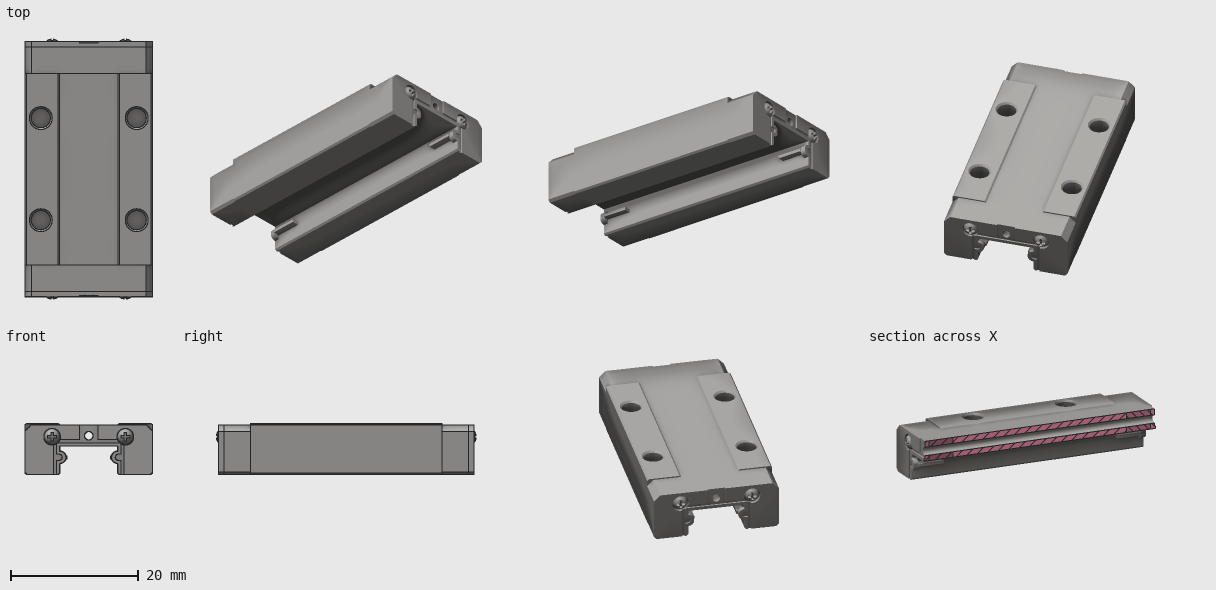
import cadquery as cq
import math

WIDTH = 20.0
HEIGHT = 8.0
LENGTH = 40.65
BLOCK_LENGTH = 30.0
SEAL_FRONT = 20.0
SEAL_THICKNESS = 0.85
SEAL_BACK = SEAL_FRONT - SEAL_THICKNESS
BLOCK_END = BLOCK_LENGTH / 2

CHANNEL_HALF_WIDTH = 4.5
CHANNEL_ROOF = 4.47
CHANNEL_CHAMFER = 0.3
BEAD_Z = 2.72

TOP_GROOVE_DEPTH = 0.2
TOP_GROOVE_HALF_WIDTH = 4.55
TOP_GROOVE_CHAMFER = 0.25
BLOCK_TOP_CHAMFER = 0.25
BLOCK_FOOT_CHAMFER = 0.3
MOUNT_HOLE_DIAMETER = 3.0
MOUNT_HOLE_DEPTH = 3.0
MOUNT_HOLE_CHAMFER = 0.3
COUNTERSINK_TAPER = 45
MOUNT_SPACING_X = 15.0
MOUNT_SPACING_Y = 16.0

CAP_TOP = HEIGHT - TOP_GROOVE_DEPTH
CAP_TOP_CHAMFER = 1.0
CAP_FOOT_CHAMFER = 0.4
CAP_BEAD_HALF_HEIGHT = 0.25
CAP_BEAD_TIP = 3.38
GREASE_HOLE_DIAMETER = 1.3
GREASE_HOLE_Z = 6.1

LIP_THICKNESS = 0.53
LIP_GROOVE_WIDTH = 0.5
SEAL_BEAD_RADIUS = 0.98
SEAL_BEAD_TIP = 3.58
BEAD_GROOVE_RADIUS = 0.5
BEAD_GROOVE_CENTRE_X = 4.65
NOTCH_WIDTH = 2.85
RECESS_DEPTH = 0.25

SCREW_RADIUS = 1.3
SCREW_X = 5.75
SCREW_Z = 5.95
CROSS_LENGTH = 1.4
CROSS_WIDTH = 0.4
CROSS_DEPTH = 0.8
CROSS_CORNER_RADIUS = CROSS_WIDTH / math.sqrt(2)
CORNER_HEIGHT = LENGTH / 2 - SEAL_BACK
DOME_CENTRE_HEIGHT = (CORNER_HEIGHT**2 + CROSS_CORNER_RADIUS**2 - SCREW_RADIUS**2) / (2 * CORNER_HEIGHT)
DOME_APEX_HEIGHT = DOME_CENTRE_HEIGHT + math.hypot(SCREW_RADIUS, DOME_CENTRE_HEIGHT)


def extrude_along_y(outline, y_start, y_end):
    """Extrude a closed XZ outline from y_start to y_end."""
    return outline.extrude(y_end - y_start).translate((0, y_end, 0))


def box_between(x_range, y_range, z_range):
    """A box given by its limits along X, Y and Z."""
    spans = [high - low for low, high in (x_range, y_range, z_range)]
    corner = (x_range[0], y_range[0], z_range[0])
    return cq.Workplane("XY").box(*spans, centered=False).translate(corner)


def rod_along_y(x, z, radius, y_start, y_end):
    """A round rod parallel to Y."""
    return extrude_along_y(cq.Workplane("XZ").center(x, z).circle(radius), y_start, y_end)


def saddle_outline(outer_points, foot_chamfer):
    """Symmetric saddle: outer points from the middle of the top outwards, then a leg and the channel."""
    half = WIDTH / 2
    right_side = outer_points + [
        (half, foot_chamfer),
        (half - foot_chamfer, 0),
        (CHANNEL_HALF_WIDTH + CHANNEL_CHAMFER, 0),
        (CHANNEL_HALF_WIDTH, CHANNEL_CHAMFER),
        (CHANNEL_HALF_WIDTH, CHANNEL_ROOF),
    ]
    left_side = [(-x, z) for x, z in reversed(right_side)]
    return cq.Workplane("XZ").polyline(right_side + left_side).close()


def cap_outline():
    """Outline shared by the end caps and the seals."""
    half = WIDTH / 2
    top_points = [(half - CAP_TOP_CHAMFER, CAP_TOP), (half, CAP_TOP - CAP_TOP_CHAMFER)]
    return saddle_outline(top_points, CAP_FOOT_CHAMFER)


def grease_hole():
    """Lubrication hole along the whole carriage."""
    return rod_along_y(0, GREASE_HOLE_Z, GREASE_HOLE_DIAMETER / 2, -LENGTH / 2, LENGTH / 2)


def make_block():
    """Steel block with a shallow groove on top and four mounting holes."""
    half = WIDTH / 2
    top_points = [
        (TOP_GROOVE_HALF_WIDTH, HEIGHT - TOP_GROOVE_DEPTH),
        (TOP_GROOVE_HALF_WIDTH + TOP_GROOVE_CHAMFER, HEIGHT),
        (half - BLOCK_TOP_CHAMFER, HEIGHT),
        (half, HEIGHT - BLOCK_TOP_CHAMFER),
    ]
    block = extrude_along_y(saddle_outline(top_points, BLOCK_FOOT_CHAMFER), -BLOCK_END, BLOCK_END)
    hole_centres = cq.Workplane("XY", origin=(0, 0, HEIGHT)).rarray(MOUNT_SPACING_X, MOUNT_SPACING_Y, 2, 2)
    hole_radius = MOUNT_HOLE_DIAMETER / 2
    holes = hole_centres.circle(hole_radius).extrude(-MOUNT_HOLE_DEPTH)
    rims = hole_centres.circle(hole_radius + MOUNT_HOLE_CHAMFER)
    countersinks = rims.extrude(-MOUNT_HOLE_CHAMFER, taper=COUNTERSINK_TAPER)
    return block.cut(holes).cut(countersinks).cut(grease_hole())


def make_cap():
    """End cap at the -Y end, with a narrow bead on each channel wall."""
    cap = extrude_along_y(cap_outline(), -SEAL_BACK, -BLOCK_END)
    bead_z = (BEAD_Z - CAP_BEAD_HALF_HEIGHT, BEAD_Z + CAP_BEAD_HALF_HEIGHT)
    for side in (-1, 1):
        bead_x = sorted((side * CAP_BEAD_TIP, side * CHANNEL_HALF_WIDTH))
        cap = cap.union(box_between(bead_x, (-SEAL_BACK, -BLOCK_END), bead_z))
    return cap.cut(grease_hole())


def lip_groove():
    """Groove that separates the sealing lip from the seal plate, widened into each bead."""
    inner_x = CHANNEL_HALF_WIDTH + LIP_THICKNESS
    outer_x = inner_x + LIP_GROOVE_WIDTH
    inner_z = CHANNEL_ROOF + LIP_THICKNESS
    outer_z = inner_z + LIP_GROOVE_WIDTH
    depth_range = (-SEAL_FRONT, -SEAL_FRONT + RECESS_DEPTH)
    groove = box_between((-outer_x, outer_x), depth_range, (0, outer_z))
    groove = groove.cut(box_between((-inner_x, inner_x), depth_range, (0, inner_z)))
    for side in (-1, 1):
        centre_x = side * BEAD_GROOVE_CENTRE_X
        neck_x = sorted((centre_x, side * inner_x))
        neck_z = (BEAD_Z - BEAD_GROOVE_RADIUS, BEAD_Z + BEAD_GROOVE_RADIUS)
        groove = groove.union(box_between(neck_x, depth_range, neck_z))
        groove = groove.union(rod_along_y(centre_x, BEAD_Z, BEAD_GROOVE_RADIUS, *depth_range))
    return groove


def make_seal():
    """End seal at the -Y end: a plate with a sealing lip, two beads, a notch and two screw holes."""
    full_depth = (-SEAL_FRONT, -SEAL_BACK)
    seal = extrude_along_y(cap_outline(), *full_depth)
    for side in (-1, 1):
        seal = seal.union(rod_along_y(side * CHANNEL_HALF_WIDTH, BEAD_Z, SEAL_BEAD_RADIUS, *full_depth))
        seal = seal.cut(rod_along_y(side * SCREW_X, SCREW_Z, SCREW_RADIUS, *full_depth))
    seal = seal.cut(box_between((-SEAL_BEAD_TIP, SEAL_BEAD_TIP), full_depth, (0, CHANNEL_ROOF)))
    notch = box_between(
        (-NOTCH_WIDTH / 2, NOTCH_WIDTH / 2),
        (-SEAL_FRONT, -SEAL_FRONT + RECESS_DEPTH),
        (CHANNEL_ROOF + LIP_THICKNESS, CAP_TOP),
    )
    return seal.cut(lip_groove()).cut(notch).cut(grease_hole())


def make_screw(x):
    """Domed cross-recess screw head at the -Y end, seated on the end cap."""
    dome = (
        cq.Workplane("XY")
        .sphere(DOME_APEX_HEIGHT - DOME_CENTRE_HEIGHT)
        .translate((0, 0, DOME_CENTRE_HEIGHT))
        .intersect(cq.Workplane("XY").circle(SCREW_RADIUS).extrude(DOME_APEX_HEIGHT))
    )
    cross_floor = cq.Workplane("XY", origin=(0, 0, DOME_APEX_HEIGHT - CROSS_DEPTH))
    slot = cross_floor.rect(CROSS_LENGTH, CROSS_WIDTH).extrude(CROSS_DEPTH)
    crossing_slot = slot.rotate((0, 0, 0), (0, 0, 1), 90)
    head = dome.cut(slot).cut(crossing_slot)
    return head.rotate((0, 0, 0), (1, 0, 0), 90).translate((x, -SEAL_BACK, SCREW_Z))


end_parts = [make_cap(), make_seal()] + [make_screw(side * SCREW_X) for side in (-1, 1)]

bodies = [make_block().val()]
for part in end_parts:
    bodies.append(part.val())
    bodies.append(part.mirror("XZ").val())

result = cq.Compound.makeCompound(bodies)